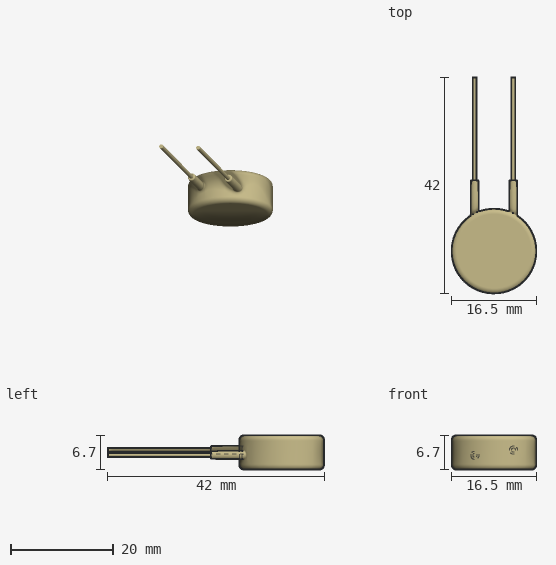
import cadquery as cq

body_diameter = 16.5
body_height = 6.7
body_edge_radius = 1.0
overall_length = 42.0

lead_spacing = 7.5
lead_height_offset = 0.5
wire_diameter = 0.8
exposed_wire_length = 20.0
wire_end_y = overall_length - body_diameter / 2

sleeve_diameter = 1.6
sleeve_tip_diameter = 1.5
sleeve_taper_length = 2.2
sleeve_tip_y = wire_end_y - exposed_wire_length
sleeve_taper_y = sleeve_tip_y - sleeve_taper_length
sleeve_tip_round = 0.2
sleeve_root_fillet = 0.2

lead_root_y = body_diameter / 4


def make_body():
    """Flat disc with rounded top and bottom rims."""
    disc = cq.Workplane("XY").cylinder(body_height, body_diameter / 2)
    return disc.edges().fillet(body_edge_radius)


def make_sleeve(x, z):
    """Tapered, round-ended sleeve, revolved about its own axis parallel to Y."""
    profile = (
        cq.Workplane("YZ")
        .moveTo(lead_root_y, 0)
        .lineTo(lead_root_y, sleeve_diameter / 2)
        .lineTo(sleeve_taper_y, sleeve_diameter / 2)
        .lineTo(sleeve_tip_y, sleeve_tip_diameter / 2)
        .lineTo(sleeve_tip_y, 0)
        .close()
    )
    sleeve = profile.revolve(360, (0, 0, 0), (1, 0, 0))
    sleeve = sleeve.faces(">Y").edges().fillet(sleeve_tip_round)
    return sleeve.translate((x, 0, z))


def make_wire(x, z):
    """Bare wire from inside the body to the free end of the lead."""
    wire_length = wire_end_y - lead_root_y
    axis_start = cq.Vector(x, lead_root_y, z)
    toward_tip = cq.Vector(0, 1, 0)
    return cq.Solid.makeCylinder(wire_diameter / 2, wire_length, axis_start, toward_tip)


def root_edges(part, x, z):
    """Edges where the sleeve at (x, z) meets the curved side of the body."""
    reach = sleeve_diameter / 2 + sleeve_root_fillet
    corner_low = (x - reach, lead_root_y, z - reach)
    corner_high = (x + reach, body_diameter / 2, z + reach)
    return part.edges(cq.selectors.BoxSelector(corner_low, corner_high))


result = make_body()
for side in (-1, 1):
    lead_x = side * lead_spacing / 2
    lead_z = side * lead_height_offset
    result = result.union(make_sleeve(lead_x, lead_z))
    result = root_edges(result, lead_x, lead_z).fillet(sleeve_root_fillet)
    result = result.union(cq.Workplane(obj=make_wire(lead_x, lead_z)))